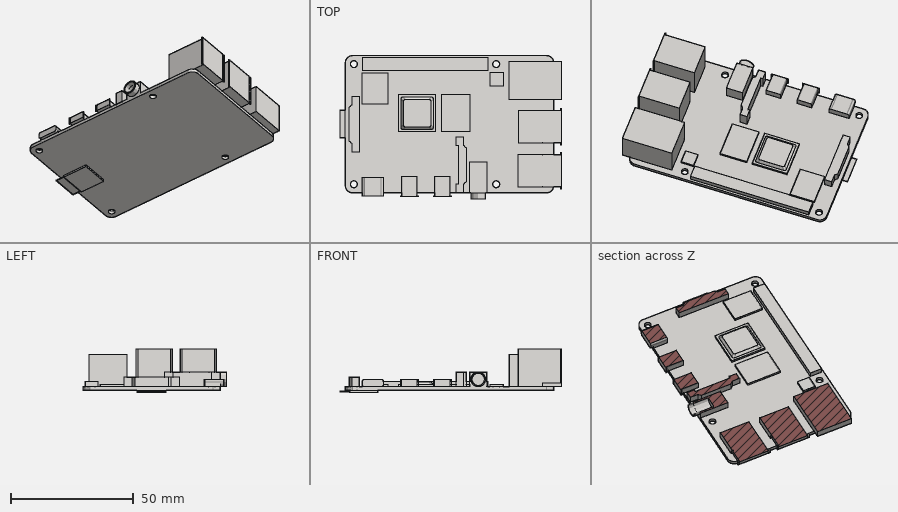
import cadquery as cq
import math

BOARD_LENGTH = 85.0
BOARD_WIDTH = 56.0
BOARD_THICKNESS = 1.5
CORNER_RADIUS = 3.0
OVERALL_LENGTH = 90.3

HOLE_DIAMETER = 2.7
HOLE_INSET = 3.5
HOLE_PITCH_X = 58.0
HOLE_PITCH_Y = BOARD_WIDTH - 2 * HOLE_INSET

CHIP_HEIGHT = 0.9
LID_HEIGHT = 1.0
LID_SIZE = 13.2
LID_SLOPE_INSET = 1.0
LID_CORNER_RADIUS = 1.2
CPU_SIZE = 15.1
CPU_X = 21.8
CPU_Y = 24.9

CHIPS = (
    (6.9, 36.2, 10.6, 12.6),
    (39.2, 25.1, 11.6, 15.0),
    (59.0, 43.6, 5.4, 5.4),
)

HEADER_X = 7.0
HEADER_Y = 49.95
HEADER_LENGTH = 51.1
HEADER_WIDTH = 5.15
HEADER_HEIGHT = 2.2

CARD_OVERHANG = 2.2
CARD_WIDTH = 11.4
CARD_THICKNESS = 0.4
CARD_GAP = 0.3
CARD_CENTER_Y = 28.1
CARD_SLOT_START_X = 1.8
CARD_SLOT_LENGTH = 11.5
CARD_SLOT_WIDTH = 11.9
CARD_SLOT_HEIGHT = 0.9

PORT_END_X = OVERALL_LENGTH - CARD_OVERHANG
ETHERNET_LENGTH = 21.4
ETHERNET_WIDTH = 15.6
ETHERNET_HEIGHT = 13.2
ETHERNET_CENTER_Y = 45.8

USB_STACKS = ((70.6, 27.0), (70.45, 9.0))
USB_HEIGHT = 15.35
USB_WIDTH = 13.2
USB_NOTCH_LENGTH = 7.9
USB_NOTCH_HEIGHT = 1.4
USB_FLANGE_WIDTH = 14.8
USB_FLANGE_THICKNESS = 0.4

FLAT_CABLE_LENGTH = 22.6
FLAT_CABLE_DEPTH = 3.1
FLAT_CABLE_LATCH_LENGTH = 15.8
FLAT_CABLE_LATCH_STEP = 1.1
FLAT_CABLE_SLOPE = 1.1
DISPLAY_BACK_X = 5.8
DISPLAY_CENTER_Y = 28.0
DISPLAY_HEIGHT = 3.9
CAMERA_BACK_X = 45.2
CAMERA_CENTER_Y = 11.5
CAMERA_HEIGHT = 6.0
CAMERA_RECESS = 0.9

AUDIO_WIDTH = 6.95
AUDIO_LENGTH = 12.6
AUDIO_CENTER_X = 54.2
AUDIO_BARREL_DIAMETER = 6.0
AUDIO_BORE_DIAMETER = 5.0
AUDIO_BARREL_LENGTH = 2.5
AUDIO_BORE_DEPTH = 9.0
AUDIO_HEIGHT = AUDIO_BARREL_DIAMETER

POWER_WIDTH = 8.8
POWER_LENGTH = 7.6
POWER_HEIGHT = 3.0
POWER_OVERHANG = 1.3
POWER_RADIUS = 1.0
POWER_X = 6.9

HDMI_CENTERS_X = (26.1, 39.6)
HDMI_WIDTH = 6.3
HDMI_LENGTH = 8.1
HDMI_HEIGHT = 3.0
HDMI_OVERHANG = 1.5
HDMI_EDGE_RADIUS = 0.3
HDMI_FLANGE_WIDTH = 7.3
HDMI_FLANGE_THICKNESS = 0.4


def block(x, y, length, width, height, bottom=0.0):
    """Box with its minimum corner at (x, y, bottom)."""
    return cq.Workplane("XY").box(length, width, height, centered=False).translate((x, y, bottom))


def make_board():
    board = block(0, 0, BOARD_LENGTH, BOARD_WIDTH, BOARD_THICKNESS, -BOARD_THICKNESS)
    board = board.edges("|Z").fillet(CORNER_RADIUS)
    holes = [
        (HOLE_INSET + i * HOLE_PITCH_X, HOLE_INSET + j * HOLE_PITCH_Y)
        for i in (0, 1)
        for j in (0, 1)
    ]
    cutters = cq.Workplane("XY").pushPoints(holes).circle(HOLE_DIAMETER / 2).extrude(-BOARD_THICKNESS)
    return board.cut(cutters)


def make_processor():
    base = block(CPU_X, CPU_Y, CPU_SIZE, CPU_SIZE, CHIP_HEIGHT)
    slope = math.degrees(math.atan2(LID_SLOPE_INSET, LID_HEIGHT))
    lid = cq.Workplane("XY").rect(LID_SIZE, LID_SIZE).extrude(LID_HEIGHT, taper=slope)
    lid = lid.edges("not (|X or |Y)").fillet(LID_CORNER_RADIUS)
    lid = lid.translate((CPU_X + CPU_SIZE / 2, CPU_Y + CPU_SIZE / 2, CHIP_HEIGHT))
    return base.union(lid)


def make_ethernet_port():
    return block(
        PORT_END_X - ETHERNET_LENGTH, ETHERNET_CENTER_Y - ETHERNET_WIDTH / 2,
        ETHERNET_LENGTH, ETHERNET_WIDTH, ETHERNET_HEIGHT,
    )


def make_usb_stack(start_x, center_y):
    body = block(start_x, center_y - USB_WIDTH / 2, PORT_END_X - start_x, USB_WIDTH, USB_HEIGHT)
    flange = block(
        PORT_END_X - USB_FLANGE_THICKNESS, center_y - USB_FLANGE_WIDTH / 2,
        USB_FLANGE_THICKNESS, USB_FLANGE_WIDTH, USB_HEIGHT,
    )
    notch = block(
        PORT_END_X - USB_NOTCH_LENGTH, center_y - USB_FLANGE_WIDTH / 2,
        USB_NOTCH_LENGTH, USB_FLANGE_WIDTH, USB_NOTCH_HEIGHT,
    )
    return body.union(flange).cut(notch)


def make_flat_cable_connector(height):
    """Connector along Y with its back on X = 0 and its latch stepping out towards +X."""
    half = FLAT_CABLE_LENGTH / 2
    latch_half = FLAT_CABLE_LATCH_LENGTH / 2
    step_x = FLAT_CABLE_DEPTH + FLAT_CABLE_LATCH_STEP
    return (
        cq.Workplane("XY")
        .polyline([
            (0, -half),
            (FLAT_CABLE_DEPTH, -half),
            (FLAT_CABLE_DEPTH, -latch_half),
            (step_x, -latch_half + FLAT_CABLE_SLOPE),
            (step_x, latch_half - FLAT_CABLE_SLOPE),
            (FLAT_CABLE_DEPTH, latch_half),
            (FLAT_CABLE_DEPTH, half),
            (0, half),
        ])
        .close()
        .extrude(height)
    )


def make_display_connector():
    connector = make_flat_cable_connector(DISPLAY_HEIGHT)
    connector = connector.rotate((0, 0, 0), (0, 0, 1), 180)
    return connector.translate((DISPLAY_BACK_X, DISPLAY_CENTER_Y, 0))


def make_camera_connector():
    recess = block(
        0, -FLAT_CABLE_LATCH_LENGTH / 2, CAMERA_RECESS, FLAT_CABLE_LATCH_LENGTH, CAMERA_HEIGHT
    )
    connector = make_flat_cable_connector(CAMERA_HEIGHT).cut(recess)
    return connector.translate((CAMERA_BACK_X, CAMERA_CENTER_Y, 0))


def make_audio_jack():
    body = block(AUDIO_CENTER_X - AUDIO_WIDTH / 2, 0, AUDIO_WIDTH, AUDIO_LENGTH, AUDIO_HEIGHT)
    center_z = AUDIO_HEIGHT / 2
    front = cq.Workplane("XZ", origin=(AUDIO_CENTER_X, -AUDIO_BARREL_LENGTH, center_z))
    barrel = front.circle(AUDIO_BARREL_DIAMETER / 2).extrude(-AUDIO_BARREL_LENGTH)
    bore = front.circle(AUDIO_BORE_DIAMETER / 2).extrude(-AUDIO_BORE_DEPTH)
    return body.union(barrel).cut(bore)


def make_power_socket():
    body = block(POWER_X, -POWER_OVERHANG, POWER_WIDTH, POWER_LENGTH, POWER_HEIGHT)
    shell = body.edges("|Y").fillet(POWER_RADIUS)
    base = block(POWER_X, 0, POWER_WIDTH, POWER_LENGTH - POWER_OVERHANG, POWER_HEIGHT / 2)
    return shell.union(base)


def make_hdmi_socket(center_x):
    body = block(center_x - HDMI_WIDTH / 2, -HDMI_OVERHANG, HDMI_WIDTH, HDMI_LENGTH, HDMI_HEIGHT)
    body = body.edges("|Y and >Z").fillet(HDMI_EDGE_RADIUS)
    flange = block(
        center_x - HDMI_FLANGE_WIDTH / 2, -HDMI_OVERHANG,
        HDMI_FLANGE_WIDTH, HDMI_FLANGE_THICKNESS, HDMI_HEIGHT,
    )
    return body.union(flange)


def make_card_and_slot():
    slot = block(
        CARD_SLOT_START_X, CARD_CENTER_Y - CARD_SLOT_WIDTH / 2,
        CARD_SLOT_LENGTH, CARD_SLOT_WIDTH, CARD_SLOT_HEIGHT, -BOARD_THICKNESS - CARD_SLOT_HEIGHT,
    )
    card = block(
        -CARD_OVERHANG, CARD_CENTER_Y - CARD_WIDTH / 2,
        CARD_OVERHANG + CARD_SLOT_START_X, CARD_WIDTH, CARD_THICKNESS,
        -BOARD_THICKNESS - CARD_GAP - CARD_THICKNESS,
    )
    return slot.union(card)


parts = [
    block(HEADER_X, HEADER_Y, HEADER_LENGTH, HEADER_WIDTH, HEADER_HEIGHT),
    make_processor(),
    make_ethernet_port(),
    make_display_connector(),
    make_camera_connector(),
    make_audio_jack(),
    make_power_socket(),
    make_card_and_slot(),
]
parts += [block(x, y, length, width, CHIP_HEIGHT) for x, y, length, width in CHIPS]
parts += [make_usb_stack(start_x, center_y) for start_x, center_y in USB_STACKS]
parts += [make_hdmi_socket(center_x) for center_x in HDMI_CENTERS_X]

result = make_board()
for part in parts:
    result = result.union(part)